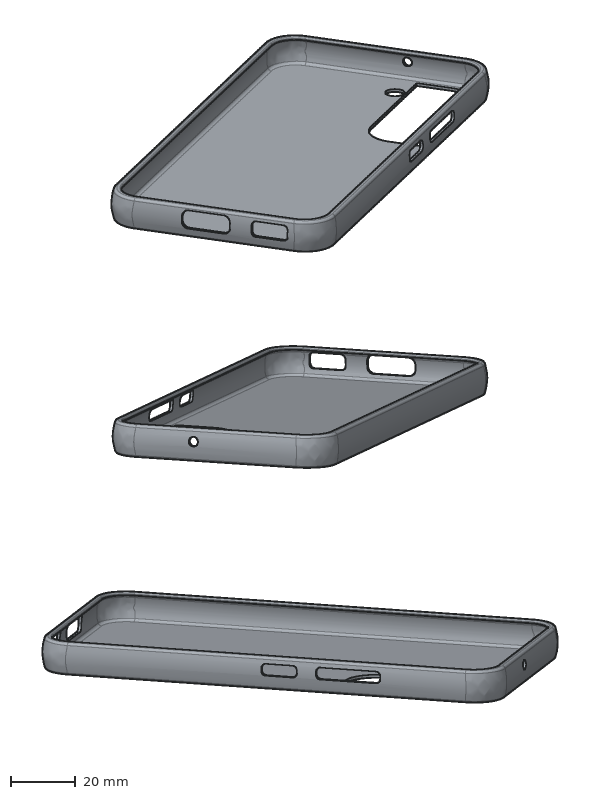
import cadquery as cq

length = 149.8
width = 74.0
height = 10.3
mid_height = height / 2

side_bulge = 0.82
corner_radius = 10.0
outer_edge_radius = 1.0

wall = 1.0
cavity_edge_radius = 1.2
rim_width = 2.8
rim_edge_radius = 0.5
opening_radius = corner_radius + side_bulge - rim_width

camera_left, camera_right = 11.5, 32.8
camera_bottom, camera_top = 21.4, 70.7
camera_radius = 9.7

flash_x, flash_y = 8.1, 60.8
flash_diameter = 6.0

port_x, port_z = -2.4, 6.0
port_width, port_height, port_radius = 16.0, 6.0, 2.2
speaker_x, speaker_z = 18.7, 6.0
speaker_width, speaker_height, speaker_radius = 12.0, 5.1, 1.5

button_z, button_height, button_radius = 6.3, 3.7, 1.5
volume_y, volume_length = 26.7, 20.8
power_y, power_length = 4.3, 11.5

mic_x, mic_z, mic_diameter = 7.2, 6.3, 3.0


def bowed_prism(plane, span, inset):
    """Prism through the body whose two sides bow outward at mid height."""
    half_mid = span / 2 - inset
    half_end = half_mid - side_bulge
    bottom, top = inset, height - inset
    return (
        cq.Workplane(plane)
        .moveTo(-half_end, bottom)
        .lineTo(half_end, bottom)
        .threePointArc((half_mid, mid_height), (half_end, top))
        .lineTo(-half_end, top)
        .threePointArc((-half_mid, mid_height), (-half_end, bottom))
        .close()
        .extrude(length, both=True)
    )


def pillow(inset, edge_radius):
    """Body with bowed sides, set in by `inset` on every face."""
    block = bowed_prism("XZ", width, inset).intersect(bowed_prism("YZ", length, inset))
    corners = block.edges("not(#Z or |X or |Y)")
    rounded = corners.fillet(corner_radius - inset)
    return rounded.faces("<Z or >Z").edges().fillet(edge_radius)


def rim_opening():
    return (
        cq.Workplane("XY")
        .workplane(offset=mid_height)
        .rect(width - 2 * rim_width, length - 2 * rim_width)
        .extrude(mid_height)
        .edges("|Z")
        .fillet(opening_radius)
    )


def camera_cutter():
    return (
        cq.Workplane("XY")
        .moveTo(camera_left, camera_top)
        .lineTo(camera_right - camera_radius, camera_top)
        .radiusArc((camera_right, camera_top - camera_radius), camera_radius)
        .lineTo(camera_right, camera_bottom)
        .lineTo(camera_left + camera_radius, camera_bottom)
        .radiusArc((camera_left, camera_bottom + camera_radius), camera_radius)
        .close()
        .extrude(mid_height)
    )


def front_slot(x, z, slot_width, slot_height, radius):
    """Rounded slot cutter reaching from the center out through the -Y wall."""
    block = cq.Workplane("XZ").center(x, z).rect(slot_width, slot_height).extrude(length)
    return block.edges("|Y").fillet(radius)


def button_slot(y, slot_length):
    """Rounded slot cutter reaching from the center out through the +X wall."""
    block = cq.Workplane("YZ").center(y, button_z).rect(slot_length, button_height).extrude(width)
    return block.edges("|X").fillet(button_radius)


case = pillow(0, outer_edge_radius).cut(pillow(wall, cavity_edge_radius)).cut(rim_opening())
top_face = case.faces(">Z").val()
case = case.newObject(top_face.innerWires()).edges().fillet(rim_edge_radius)

flash_cutter = cq.Workplane("XY").center(flash_x, flash_y).circle(flash_diameter / 2).extrude(mid_height)
case = case.cut(camera_cutter()).cut(flash_cutter)

case = case.cut(front_slot(port_x, port_z, port_width, port_height, port_radius))
case = case.cut(front_slot(speaker_x, speaker_z, speaker_width, speaker_height, speaker_radius))
case = case.cut(button_slot(volume_y, volume_length))
case = case.cut(button_slot(power_y, power_length))
mic_cutter = cq.Workplane("XZ").center(mic_x, mic_z).circle(mic_diameter / 2).extrude(-length)
result = case.cut(mic_cutter)